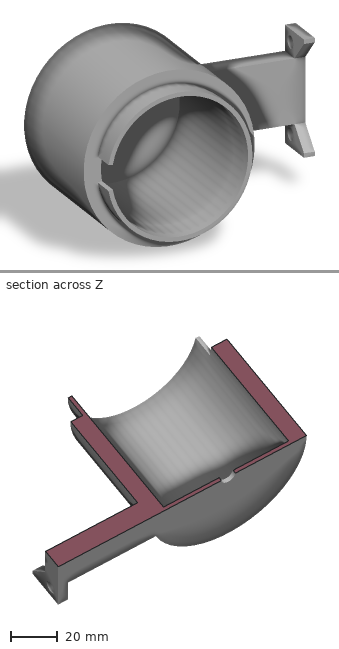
import cadquery as cq
import math

body_radius = 40.0
body_length = 61.8
total_length = 73.0
rim_radius = 33.9
wall = 2.0
cavity_radius = rim_radius - wall
floor_thickness = 2.0
axle_hole_diameter = 7.0
notch_angle = 20.0

flange_back_y = 87.0
flange_thickness = 5.1
flange_width = 19.8
flange_height = 53.9
flange_tip_height = 2.0
arm_thickness = 10.0
arm_height = 30.0
screw_hole_diameter = 6.0
screw_hole_x = 5.8
screw_hole_z = 21.0


def cylinder_along_x(radius, start, end):
    return cq.Workplane("YZ").workplane(offset=start).circle(radius).extrude(end - start)


def make_arm():
    return cq.Workplane("XY").box(
        arm_thickness, flange_back_y, arm_height, centered=(False, False, True)
    )


def make_flange():
    half_height = flange_height / 2
    half_arm = arm_height / 2
    tip_z = half_height - flange_tip_height
    flange = (
        cq.Workplane("XZ", origin=(0, flange_back_y, 0))
        .moveTo(0, -half_height)
        .lineTo(flange_width, -half_height)
        .lineTo(flange_width, -tip_z)
        .lineTo(arm_thickness, -half_arm)
        .lineTo(arm_thickness, half_arm)
        .lineTo(flange_width, tip_z)
        .lineTo(flange_width, half_height)
        .lineTo(0, half_height)
        .close()
        .extrude(flange_thickness)
    )
    screw_holes = (
        cq.Workplane("XZ", origin=(0, flange_back_y, 0))
        .pushPoints([(screw_hole_x, side * screw_hole_z) for side in (-1, 1)])
        .circle(screw_hole_diameter / 2)
        .extrude(flange_thickness)
    )
    return flange.cut(screw_holes)


def make_notch():
    half_height = body_radius * math.tan(math.radians(notch_angle / 2))
    return (
        cq.Workplane("YZ")
        .workplane(offset=body_length)
        .polyline([(0, 0), (-body_radius, -half_height), (-body_radius, half_height)])
        .close()
        .extrude(total_length - body_length)
    )


housing = cylinder_along_x(body_radius, 0, body_length)
rim = cylinder_along_x(rim_radius, body_length, total_length)
cavity = cylinder_along_x(cavity_radius, floor_thickness, total_length)
axle_hole = cylinder_along_x(axle_hole_diameter / 2, 0, floor_thickness)

result = (
    housing.union(rim)
    .union(make_arm())
    .union(make_flange())
    .cut(cavity)
    .cut(axle_hole)
    .cut(make_notch())
)